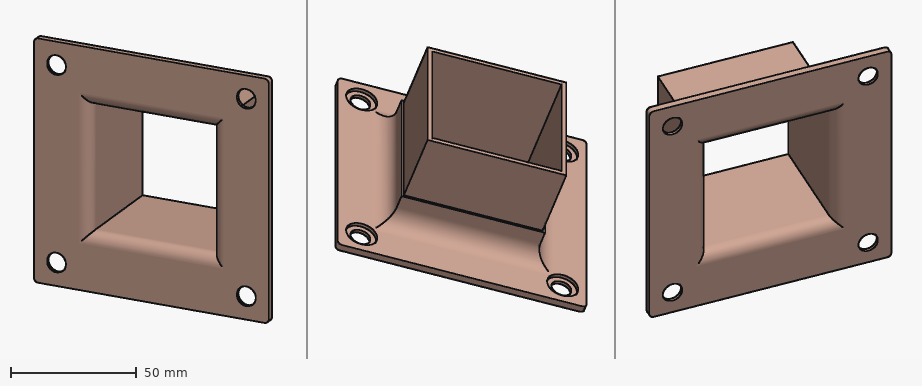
import cadquery as cq
import math

plate_side = 104.0
plate_thickness = 3.0
plate_corner_radius = 2.0
hole_spacing = 84.0
hole_diameter = 8.3
counterbore_diameter = 13.0
counterbore_depth = 1.6

total_depth = 47.0
tube_side = 58.0
bore_side = 54.0
collar_side = 60.0
collar_end = 17.1
flare_radius = 8.0
mouth_radius = 5.0


def square_block(side, start, end):
    """Square block centred on the Y axis, running from Y = start to Y = end."""
    return cq.Workplane("XZ", origin=(0, start, 0)).rect(side, side).extrude(start - end)


def corner_cylinders(diameter, start, end):
    """Cylinders on the four hole centres, running from Y = start to Y = end."""
    return (
        cq.Workplane("XZ", origin=(0, start, 0))
        .rect(hole_spacing, hole_spacing, forConstruction=True)
        .vertices()
        .circle(diameter / 2)
        .extrude(start - end)
    )


def mitred_flare(side, radius, start):
    """Square block widened at its front by quarter-round flares that meet in mitres.

    The block spans Y = start to start + radius and is `side` wide at its rear.
    The quarter-rounds are concave seen from outside the block.
    """
    half = side / 2
    mid = radius * (1 - math.sqrt(0.5))
    end = start + radius
    profile = (
        cq.Workplane("XY")
        .moveTo(-half - radius, start)
        .lineTo(half + radius, start)
        .threePointArc((half + mid, start + mid), (half, end))
        .lineTo(-half, end)
        .threePointArc((-half - mid, start + mid), (-half - radius, start))
        .close()
    )
    across_x = profile.extrude(half + radius, both=True)
    across_z = across_x.rotate((0, 0, 0), (0, 1, 0), 90)
    return across_x.intersect(across_z)


plate = square_block(plate_side, 0, plate_thickness).edges("|Y").fillet(plate_corner_radius)
flare = mitred_flare(collar_side, flare_radius, plate_thickness)
collar = square_block(collar_side, plate_thickness, collar_end)
tube = square_block(tube_side, plate_thickness, total_depth)

holes = corner_cylinders(hole_diameter, 0, plate_thickness)

counterbore_floor = plate_thickness - counterbore_depth
counterbores = corner_cylinders(counterbore_diameter, counterbore_floor, plate_thickness + flare_radius)

bore = square_block(bore_side, 0, total_depth)
mouth = mitred_flare(bore_side, mouth_radius, 0)

body = plate.union(flare).union(collar).union(tube)
result = body.cut(holes).cut(counterbores).cut(bore).cut(mouth)